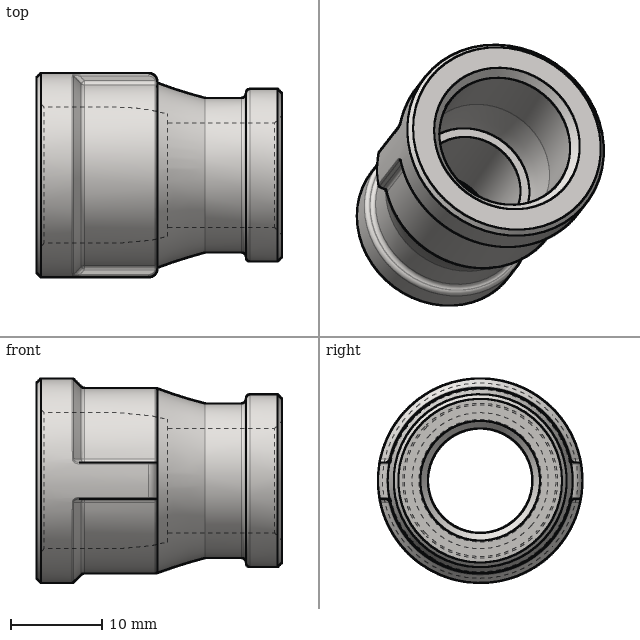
import cadquery as cq
import math

LENGTH = 27.0
COLLAR_RADIUS = 22.5 / 2
BODY_RADIUS = 20.4 / 2
NECK_RADIUS = 17.0 / 2
FLANGE_RADIUS = 19.0 / 2
END_CHAMFER = 0.5

COLLAR_LENGTH = 4.02
BODY_END = 13.01
TRANSITION_START = 13.3
NECK_START = 18.55
FLANGE_START = 23.0
FLANGE_ROUND = 0.49
BODY_END_ROUND = 1.0
TRANSITION_SAG = 0.08

RIB_WIDTH = 4.0
RIB_END_ROUND = 1.0
CREST_ROUND = 0.2
ROOT_ROUND = 0.49

LARGE_BORE_RADIUS = 14.95 / 2
LARGE_MOUTH_RADIUS = 16.65 / 2
LARGE_BORE_DEPTH = 9.0
TAPER_LENGTH = 5.4
BORE_FLOOR_RADIUS = 13.47 / 2
SMALL_BORE_RADIUS = 11.45 / 2
SMALL_MOUTH_RADIUS = 13.15 / 2

SHOULDER_END = COLLAR_LENGTH + COLLAR_RADIUS - BODY_RADIUS
BODY_ROUND_DROP = BODY_END_ROUND - math.sqrt(BODY_END_ROUND**2 - (TRANSITION_START - BODY_END) ** 2)
TRANSITION_RADIUS = BODY_RADIUS - BODY_ROUND_DROP
TOLERANCE = 0.003


def revolve_about_x(profile):
    """Turn a closed XY profile (X along the axis, Y radial) about the X axis."""
    return profile.close().revolve(360, (0, 0, 0), (1, 0, 0))


def axis_distance(point):
    """Distance of a point from the X axis."""
    return math.hypot(point.y, point.z)


def make_large_end():
    """Turned large end, with the collar continuing to the end of the ribs."""
    return revolve_about_x(
        cq.Workplane("XY")
        .lineTo(0, COLLAR_RADIUS - END_CHAMFER)
        .lineTo(END_CHAMFER, COLLAR_RADIUS)
        .lineTo(TRANSITION_START - RIB_END_ROUND, COLLAR_RADIUS)
        .radiusArc((TRANSITION_START, COLLAR_RADIUS - RIB_END_ROUND), RIB_END_ROUND)
        .lineTo(TRANSITION_START, 0)
    )


def make_small_end():
    """Turned outside from the end of the ribs to the small end."""
    transition_middle = (
        (TRANSITION_START + NECK_START) / 2,
        (TRANSITION_RADIUS + NECK_RADIUS) / 2 - TRANSITION_SAG,
    )
    return revolve_about_x(
        cq.Workplane("XY")
        .moveTo(TRANSITION_START, 0)
        .lineTo(TRANSITION_START, TRANSITION_RADIUS)
        .threePointArc(transition_middle, (NECK_START, NECK_RADIUS))
        .lineTo(FLANGE_START - FLANGE_ROUND, NECK_RADIUS)
        .radiusArc((FLANGE_START, NECK_RADIUS + FLANGE_ROUND), -FLANGE_ROUND)
        .lineTo(FLANGE_START, FLANGE_RADIUS - FLANGE_ROUND)
        .radiusArc((FLANGE_START + FLANGE_ROUND, FLANGE_RADIUS), FLANGE_ROUND)
        .lineTo(LENGTH - END_CHAMFER, FLANGE_RADIUS)
        .lineTo(LENGTH, FLANGE_RADIUS - END_CHAMFER)
        .lineTo(LENGTH, 0)
    )


def make_relief():
    """Space above the upper rib faces, removed to leave the body and shoulder."""
    clearance = 2.7
    outer_radius = COLLAR_RADIUS + clearance
    ring = revolve_about_x(
        cq.Workplane("XY")
        .moveTo(SHOULDER_END, BODY_RADIUS)
        .lineTo(BODY_END, BODY_RADIUS)
        .radiusArc((TRANSITION_START, TRANSITION_RADIUS), BODY_END_ROUND)
        .lineTo(TRANSITION_START, outer_radius)
        .lineTo(COLLAR_LENGTH - clearance, outer_radius)
    )
    cover = 4 * LENGTH
    above_rib = (
        cq.Workplane("XY")
        .workplane(offset=RIB_WIDTH / 2)
        .rect(cover, cover)
        .extrude(LENGTH)
    )
    relief = ring.intersect(above_rib)

    def is_root(edge):
        middle = edge.positionAt(0.5)
        on_floor = TRANSITION_RADIUS < axis_distance(middle) < BODY_RADIUS + TOLERANCE
        in_shoulder_corner = edge.geomType() == "HYPERBOLA"
        between_faces = abs(middle.z - RIB_WIDTH / 2) < TOLERANCE or middle.x < BODY_END - TOLERANCE
        return in_shoulder_corner or (on_floor and between_faces)

    return relief.newObject(filter(is_root, relief.edges().vals())).fillet(ROOT_ROUND)


def round_crests(part):
    """Round the outer edges of the shoulder and the long edges of the ribs."""

    def is_crest(edge):
        on_collar = all(
            abs(axis_distance(edge.positionAt(t)) - COLLAR_RADIUS) < TOLERANCE for t in (0, 0.5, 1)
        )
        middle = edge.positionAt(0.5)
        beyond_chamfer = middle.x > END_CHAMFER + TOLERANCE
        return on_collar and beyond_chamfer and abs(middle.z) > TOLERANCE

    return part.newObject(filter(is_crest, part.edges().vals())).fillet(CREST_ROUND)


def make_bore():
    """Stepped through bore with a chamfered mouth at both ends."""
    large_mouth = LARGE_MOUTH_RADIUS - LARGE_BORE_RADIUS
    small_mouth = SMALL_MOUTH_RADIUS - SMALL_BORE_RADIUS
    floor = LARGE_BORE_DEPTH + TAPER_LENGTH
    taper_drop = LARGE_BORE_RADIUS - BORE_FLOOR_RADIUS
    taper_arc_radius = (TAPER_LENGTH**2 + taper_drop**2) / (2 * taper_drop)
    return revolve_about_x(
        cq.Workplane("XY")
        .lineTo(0, LARGE_MOUTH_RADIUS)
        .lineTo(large_mouth, LARGE_BORE_RADIUS)
        .lineTo(LARGE_BORE_DEPTH, LARGE_BORE_RADIUS)
        .radiusArc((floor, BORE_FLOOR_RADIUS), taper_arc_radius)
        .lineTo(floor, SMALL_BORE_RADIUS)
        .lineTo(LENGTH - small_mouth, SMALL_BORE_RADIUS)
        .lineTo(LENGTH, SMALL_MOUTH_RADIUS)
        .lineTo(LENGTH, 0)
    )


relief = make_relief()
large_end = round_crests(make_large_end().cut(relief).cut(relief.mirror("XY")))
result = large_end.union(make_small_end()).cut(make_bore())